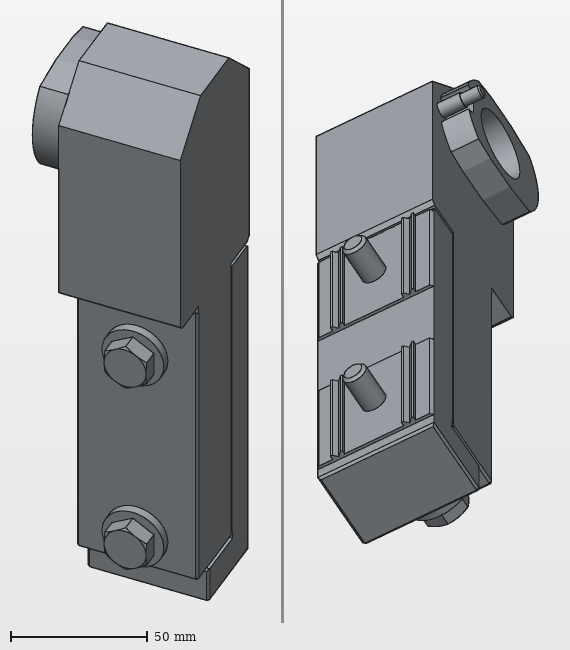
import cadquery as cq
import math

width = 49.2
half_width = width / 2
height = 242.5
edge_chamfer = 1.0

head_depth = 60.1
head_bottom = 145.0
head_bottom_chamfer = 1.7
crown_chamfer = 17.7
leg_back = 14.3
leg_front = -14.8
leg_bottom = 16.7
relief_depth = 0.7
relief_bottom = 141.5

axis_z = 214.0
flange_z = axis_z + 1.2
flange_length = 11.6
flange_half_height = 20.5
flange_flat_half = 7.3
flange_slope = math.radians(10)
flange_back_radius = 25.0
flange_front_radius = 28.1
bore_diameter = 28.5
notch_height = 14.8
notch_floor_y = 20.0
notch_fillet = 3.6

pin_y = 23.5
pin_diameter = 6.0
pin_length = 9.5
pin_tip_diameter = 5.0
pin_end_diameter = 4.0
pin_reach = 17.5

bolt_spacing = 84.9
lower_bolt_z = 31.0
bolt_heights = [lower_bolt_z, lower_bolt_z + bolt_spacing]
bolt_diameter = 10.0
bolt_tip_y = 45.8
bolt_chamfer = 1.2
washer_diameter = 25.0
washer_thickness = 3.6
hex_across_flats = 17.0
hex_height = 6.8
hex_crown_diameter = 17.0
half_facet_angle = 30

plate_back = 28.9
plate_top = 143.0
plate_chamfer = 0.7
foot_top = 15.3
foot_front = -5.3
corner_relief_depth = 1.2
corner_relief_top = 18.5

pad_length = 50.0
pad_height = 1.2
ridge_top = 31.8
ridge_offset = 15.0
ridge_width = 5.0
groove_depth = 1.7


def box(x_range, y_range, z_range):
    """Box between pairs of coordinates."""
    size = [high - low for low, high in (x_range, y_range, z_range)]
    corner = (x_range[0], y_range[0], z_range[0])
    return cq.Workplane("XY").box(*size, centered=False).translate(corner)


def rod_along_y(diameter, y_start, y_end, z):
    """Round rod on X = 0 that runs from y_start towards +Y."""
    plane = cq.Workplane("XZ", origin=(0, y_start, z))
    return plane.circle(diameter / 2).extrude(y_start - y_end)


def rod_along_minus_x(diameter, length, y, z):
    """Round rod that stands out of the -X side of the head."""
    plane = cq.Workplane("YZ", origin=(-half_width, y, z))
    return plane.circle(diameter / 2).extrude(-length)


def head_block():
    half_depth = head_depth / 2
    block = box((-half_width, half_width), (-half_depth, half_depth), (head_bottom, height))
    block = block.edges("|X and >Z").chamfer(crown_chamfer)
    return block.edges("|X and <Z").chamfer(head_bottom_chamfer)


def leg():
    x_range = (-half_width, half_width)
    lower = box(x_range, (leg_front, leg_back), (leg_bottom, relief_bottom))
    lower = lower.edges("(<Y and |Z) or <Z").chamfer(edge_chamfer)
    neck = box(x_range, (leg_front + relief_depth, leg_back), (relief_bottom, head_bottom))
    return lower.union(neck)


def slope_end(radius):
    """Distance from the flange middle, and height, where a sloped flat meets an arc of this radius."""
    offset = flange_half_height * math.cos(flange_slope) + flange_flat_half * math.sin(flange_slope)
    angle = math.acos(offset / radius) + flange_slope
    return radius * math.sin(angle), radius * math.cos(angle)


def flange():
    back_y, back_z = slope_end(flange_back_radius)
    front_y, front_z = slope_end(flange_front_radius)
    body = (
        cq.Workplane("YZ", origin=(-half_width, 0, flange_z))
        .moveTo(-flange_flat_half, flange_half_height)
        .lineTo(flange_flat_half, flange_half_height)
        .lineTo(back_y, back_z)
        .threePointArc((flange_back_radius, 0), (back_y, -back_z))
        .lineTo(flange_flat_half, -flange_half_height)
        .lineTo(-flange_flat_half, -flange_half_height)
        .lineTo(-front_y, -front_z)
        .threePointArc((-flange_front_radius, 0), (-front_y, front_z))
        .close()
        .extrude(-flange_length)
    )
    notch = box(
        (-half_width - flange_length, -half_width),
        (notch_floor_y, flange_back_radius),
        (axis_z - notch_height / 2, axis_z + notch_height / 2),
    )
    notch = notch.edges("|X and <Y").fillet(notch_fillet)
    return body.cut(notch).cut(rod_along_minus_x(bore_diameter, flange_length, 0, axis_z))


def stepped_pin():
    base = rod_along_minus_x(pin_diameter, pin_length, pin_y, axis_z)
    tip = rod_along_minus_x(pin_tip_diameter, pin_reach, pin_y, axis_z)
    tip = tip.faces("<X").chamfer((pin_tip_diameter - pin_end_diameter) / 2)
    return base.union(tip)


def bolt(z):
    """Hexagon bolt with its washer, from the front of the leg out through the clamp plate."""
    washer_front = leg_front - washer_thickness
    head_front = washer_front - hex_height
    hex_across_corners = hex_across_flats / math.cos(math.radians(half_facet_angle))
    crown_width = (hex_across_corners - hex_crown_diameter) / 2
    crown_depth = crown_width / 2
    head = (
        cq.Workplane("XZ", origin=(0, washer_front, z))
        .transformed(rotate=(0, 0, half_facet_angle))
        .polygon(6, hex_across_corners)
        .extrude(hex_height)
    )
    crown = rod_along_y(hex_across_corners, head_front, washer_front, z)
    crown = crown.faces("<Y").chamfer(crown_depth, crown_width)
    washer = rod_along_y(washer_diameter, washer_front, leg_front, z)
    shank = rod_along_y(bolt_diameter, leg_front, bolt_tip_y, z).faces(">Y").chamfer(bolt_chamfer)
    return head.intersect(crown).union(washer).union(shank)


def make_hanger():
    hanger = head_block().union(leg()).union(flange()).union(stepped_pin())
    for z in bolt_heights:
        hanger = hanger.union(bolt(z))
    return hanger


def pad(z):
    """Pad with sloped sides that carries two upright ridges, each with a V groove."""
    z_start = z - pad_length / 2
    base = (
        cq.Workplane("XY", origin=(0, 0, z_start))
        .moveTo(-half_width, plate_back)
        .lineTo(half_width, plate_back)
        .lineTo(half_width - pad_height, plate_back + pad_height)
        .lineTo(-half_width + pad_height, plate_back + pad_height)
        .close()
        .extrude(pad_length)
    )
    for x in (-ridge_offset, ridge_offset):
        x_range = (x - ridge_width / 2, x + ridge_width / 2)
        ridge = box(x_range, (plate_back, ridge_top), (z_start, z_start + pad_length))
        groove = (
            cq.Workplane("XY", origin=(x, ridge_top, z_start))
            .moveTo(-groove_depth, 0)
            .lineTo(groove_depth, 0)
            .lineTo(0, -groove_depth)
            .close()
            .extrude(pad_length)
        )
        base = base.union(ridge.cut(groove))
    return base


def make_clamp_plate():
    x_range = (-half_width, half_width)
    upright = box(x_range, (leg_back, plate_back), (foot_top, plate_top))
    upright = upright.edges("|X and >Y and >Z").chamfer(plate_chamfer)
    upright = upright.edges("|Z and <Y").chamfer(plate_chamfer)
    foot = box(x_range, (foot_front, plate_back), (0, foot_top))
    foot = foot.faces("<Y or <Z").edges().chamfer(edge_chamfer)
    relief = box(x_range, (leg_back, leg_back + corner_relief_depth), (foot_top, corner_relief_top))
    plate = upright.union(foot).cut(relief)
    for z in bolt_heights:
        plate = plate.union(pad(z))
        plate = plate.cut(rod_along_y(bolt_diameter, leg_back, bolt_tip_y, z))
    return plate


hanger = make_hanger()
clamp_plate = make_clamp_plate()
result = cq.Compound.makeCompound([hanger.solids().val(), clamp_plate.solids().val()])